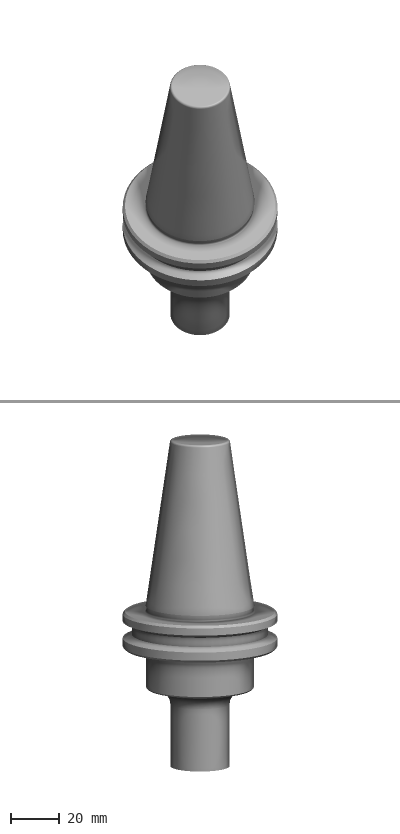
import cadquery as cq
import math

total_length = 136.2

taper_ratio = 7 / 24
gauge_diameter = 44.4
gauge_height = 67.9
taper_bottom = 67.0
small_end_round = 1.0

neck_diameter = 44.0
neck_round = 0.7

flange_diameter = 63.5
flange_bottom = 49.2
flange_top = 64.6
flange_chamfer = 1.0
groove_diameter = 56.0
groove_center = 57.1
groove_floor_width = 3.8
groove_mouth_width = 7.1

barrel_diameter = 44.4
barrel_bottom = 32.4
barrel_chamfer = 0.7
barrel_root_round = 0.7
shank_diameter = 24.4
cone_angle = 15.0
shank_fillet = 5.0

gauge_radius = gauge_diameter / 2
small_end_radius = gauge_radius - (total_length - gauge_height) * taper_ratio / 2
taper_bottom_radius = gauge_radius + (gauge_height - taper_bottom) * taper_ratio / 2
neck_radius = neck_diameter / 2
flange_radius = flange_diameter / 2
groove_radius = groove_diameter / 2
barrel_radius = barrel_diameter / 2
shank_radius = shank_diameter / 2
cone_drop = (barrel_radius - barrel_chamfer - shank_radius) * math.tan(math.radians(cone_angle))
cone_tip_height = barrel_bottom - cone_drop

fillet_turn = math.radians(90 - cone_angle)
fillet_center_radius = shank_radius + shank_fillet
fillet_center_height = cone_tip_height - shank_fillet * math.tan(fillet_turn / 2)


def fillet_point(turn):
    """Point on the shank fillet after turning the given angle away from the shank."""
    return (
        fillet_center_radius - shank_fillet * math.cos(turn),
        fillet_center_height + shank_fillet * math.sin(turn),
    )


def round_edge(solid, radius, height, fillet_radius):
    """Fillet the circular edge of the given radius and height about the Z axis."""
    tolerance = 0.01
    reach = radius + tolerance
    edges = cq.selectors.BoxSelector(
        (-reach, -reach, height - tolerance),
        (reach, reach, height + tolerance),
        boundingbox=True,
    )
    return solid.edges(edges).fillet(fillet_radius)


barrel_points = [
    (barrel_radius - barrel_chamfer, barrel_bottom),
    (barrel_radius, barrel_bottom + barrel_chamfer),
    (barrel_radius, flange_bottom),
]
flange_points = [
    (flange_radius - flange_chamfer, flange_bottom),
    (flange_radius, flange_bottom + flange_chamfer),
    (flange_radius, groove_center - groove_mouth_width / 2),
    (groove_radius, groove_center - groove_floor_width / 2),
    (groove_radius, groove_center + groove_floor_width / 2),
    (flange_radius, groove_center + groove_mouth_width / 2),
    (flange_radius, flange_top - flange_chamfer),
    (flange_radius - flange_chamfer, flange_top),
]
taper_points = [
    (neck_radius, flange_top),
    (neck_radius, taper_bottom),
    (taper_bottom_radius, taper_bottom),
    (small_end_radius, total_length),
    (0, total_length),
]
outline = (
    cq.Workplane("XZ")
    .lineTo(shank_radius, 0)
    .lineTo(*fillet_point(0))
    .threePointArc(fillet_point(fillet_turn / 2), fillet_point(fillet_turn))
    .polyline(barrel_points + flange_points + taper_points, includeCurrent=True)
    .close()
)
holder = outline.revolve(360, (0, 0, 0), (0, 1, 0))

holder = round_edge(holder, barrel_radius, flange_bottom, barrel_root_round)
holder = round_edge(holder, neck_radius, flange_top, neck_round)
holder = round_edge(holder, small_end_radius, total_length, small_end_round)

result = holder